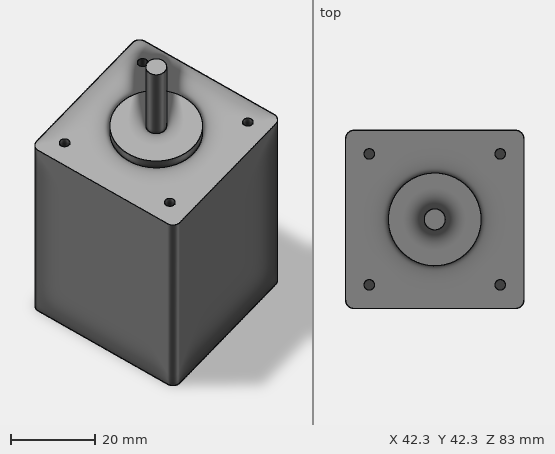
import cadquery as cq

body_width = 42.3
overall_height = 83.0

body_height = 58.9
corner_radius = 2.1

boss_diameter = 22.0
boss_height = 2.5
shaft_diameter = 5.0
shaft_length = overall_height - body_height - boss_height

hole_diameter = 2.5
hole_spacing = 31.05
hole_depth = 4.5

body = (
    cq.Workplane("XY")
    .rect(body_width, body_width)
    .extrude(body_height)
    .edges("|Z")
    .fillet(corner_radius)
)

body_with_boss = body.faces(">Z").workplane().circle(boss_diameter / 2).extrude(boss_height)
body_with_shaft = body_with_boss.faces(">Z").workplane().circle(shaft_diameter / 2).extrude(shaft_length)

mounting_holes = (
    cq.Workplane("XY", origin=(0, 0, body_height))
    .rect(hole_spacing, hole_spacing, forConstruction=True)
    .vertices()
    .circle(hole_diameter / 2)
    .extrude(-hole_depth)
)

result = body_with_shaft.cut(mounting_holes)